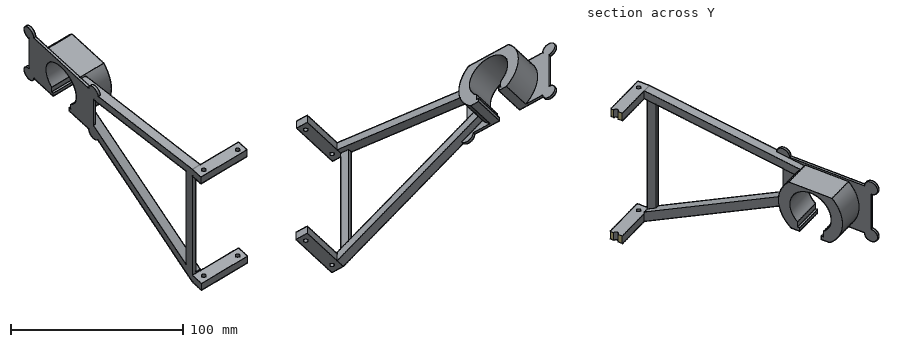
import cadquery as cq

pad_diameter = 9.0
pad_radius = pad_diameter / 2
plate_width = 59.9
plate_height = 34.9
plate_thickness = 1.6
plate_left = pad_radius
plate_right = plate_left + plate_width
plate_bottom = 49.8
plate_top = plate_bottom + plate_height
center_x = plate_left + plate_width / 2
center_z = plate_bottom + plate_height / 2

clamp_diameter = 43.6
clamp_height = 33.5
clamp_depth = 20.0
bore_diameter = 28.0
slot_width = 17.5
mouth_width = 14.6
lip_height = 2.6

total_length = 164.5
total_height = 97.0
bar_size = 6.0
upright_depth = 2.6
upright_left = 150.2
upright_right = upright_left + bar_size
arm_root_x = 49.4
upper_slope = 0.135
upper_inner_z = 78.8
lower_slope = 0.54
lower_inner_z = 56.6

leg_depth = 34.4
upper_leg_end = 164.0
hole_diameter = 2.6
hole_x = 160.5
hole_depths = (5.0, 30.1)


def extrude_back(sketch, depth):
    """Extrude an XZ sketch from the front face toward +Y."""
    return sketch.extrude(-depth)


def box(left, right, bottom, top, depth):
    """Box standing on the front face, given by its X and Z limits."""
    outline = cq.Workplane("XZ").moveTo((left + right) / 2, (bottom + top) / 2)
    return extrude_back(outline.rect(right - left, top - bottom), depth)


def disc(x, z, diameter, depth):
    return extrude_back(cq.Workplane("XZ").moveTo(x, z).circle(diameter / 2), depth)


def make_plate():
    plate = box(plate_left, plate_right, plate_bottom, plate_top, plate_thickness)
    for x in (plate_left, plate_right):
        for z in (plate_bottom, plate_top):
            plate = plate.union(disc(x, z, pad_diameter, plate_thickness))
    return plate


def make_clamp():
    flats = box(
        center_x - clamp_diameter, center_x + clamp_diameter,
        plate_bottom, plate_bottom + clamp_height, clamp_depth,
    )
    return disc(center_x, center_z, clamp_diameter, clamp_depth).intersect(flats)


def make_opening():
    """Bore with a downward slot that narrows between two lips."""
    lip_top = plate_bottom + lip_height
    opening = disc(center_x, center_z, bore_diameter, clamp_depth)
    slot = box(center_x - slot_width / 2, center_x + slot_width / 2, lip_top, center_z, clamp_depth)
    mouth = box(center_x - mouth_width / 2, center_x + mouth_width / 2, plate_bottom, lip_top, clamp_depth)
    return opening.union(slot).union(mouth)


def make_arm(slope, inner_z, knee_z):
    """Sloping bar from inside the clamp block to its knee at the legs, slope signed along +X."""
    inner_root_z = inner_z - slope * (plate_right - arm_root_x)
    inner_end_z = inner_z + slope * (upright_right - plate_right)
    outer_root_z = knee_z - slope * (upright_right - arm_root_x)
    points = [
        (arm_root_x, inner_root_z),
        (upright_right, inner_end_z),
        (upright_right, knee_z),
        (arm_root_x, outer_root_z),
    ]
    return extrude_back(cq.Workplane("XZ").polyline(points).close(), bar_size)


def make_leg(bottom, end_x):
    leg = box(upright_right, end_x, bottom, bottom + bar_size, leg_depth)
    holes = (
        cq.Workplane("XY", origin=(0, 0, bottom))
        .pushPoints([(hole_x, y) for y in hole_depths])
        .circle(hole_diameter / 2)
        .extrude(bar_size)
    )
    return leg.cut(holes)


plate_and_clamp = make_plate().union(make_clamp())
upright = box(upright_left, upright_right, bar_size, total_height - bar_size, upright_depth)
upper_arm = make_arm(upper_slope, upper_inner_z, total_height)
lower_arm = make_arm(-lower_slope, lower_inner_z, 0)

upper_leg = make_leg(total_height - bar_size, upper_leg_end)
lower_leg = make_leg(0, total_length)
frame = upright.union(upper_arm).union(lower_arm).union(upper_leg).union(lower_leg)

result = plate_and_clamp.union(frame).cut(make_opening())